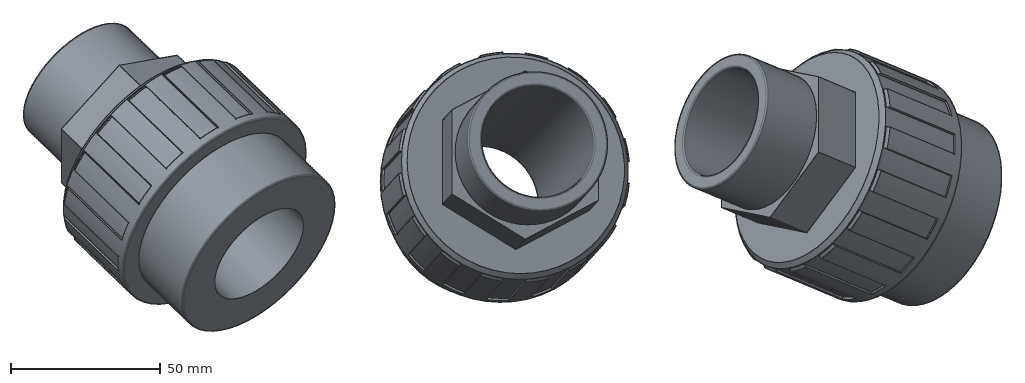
import cadquery as cq

TOTAL_LENGTH = 96.0
HEX_START = 21.8
NUT_START = 38.0
NUT_END = 72.7

SPIGOT_DIAMETER = 47.8
SOCKET_DIAMETER = 66.0
BORE_DIAMETER = 38.24
END_ROUND = 0.5

HEX_ACROSS_FLATS = 50.0
HEX_SIDES = 6

NUT_DIAMETER = 79.0
RECESS_FLOOR_DIAMETER = 77.42
NUT_FRONT_DIAMETER = 74.2
RIB_COUNT = 16
RIB_PITCH_ANGLE = 360 / RIB_COUNT
RECESS_START = 40.0
RIB_FULL_START = 41.0
RECESS_END = 69.6
CUT_CLEARANCE = 1.0


def cylinder_along_x(diameter, start, end):
    """Solid round bar between two X stations."""
    return cq.Workplane("YZ", origin=(start, 0, 0)).circle(diameter / 2).extrude(end - start)


def revolve_about_x(points):
    """Turn a closed outline of (x, radius) points about the X axis."""
    return cq.Workplane("XY").polyline(points).close().revolve(360, (0, 0, 0), (1, 0, 0))


def spigot():
    return cylinder_along_x(SPIGOT_DIAMETER, 0, NUT_START).faces("<X").fillet(END_ROUND)


def socket_end():
    return cylinder_along_x(SOCKET_DIAMETER, NUT_START, TOTAL_LENGTH).faces(">X").fillet(END_ROUND)


def hexagon():
    return (
        cq.Workplane("YZ", origin=(HEX_START, 0, 0))
        .polygon(HEX_SIDES, HEX_ACROSS_FLATS, circumscribed=True)
        .extrude(NUT_START - HEX_START)
    )


def nut_blank():
    """Nut at full rib height, with a chamfered front, sloped rib fronts and a rounded rear rim."""
    outer = NUT_DIAMETER / 2
    floor = RECESS_FLOOR_DIAMETER / 2
    front = NUT_FRONT_DIAMETER / 2
    blank = revolve_about_x([
        (NUT_START, 0),
        (NUT_START, front),
        (NUT_START + floor - front, floor),
        (RECESS_START, floor),
        (RIB_FULL_START, outer),
        (NUT_END, outer),
        (NUT_END, 0),
    ])
    return blank.faces(">X").edges().fillet(END_ROUND)


def grip_recess():
    """Ring sector between two ribs, half a pitch wide and centred on +Y."""
    sector_angle = RIB_PITCH_ANGLE / 2
    floor = RECESS_FLOOR_DIAMETER / 2
    clear = NUT_DIAMETER / 2 + CUT_CLEARANCE
    sector = (
        cq.Workplane("XY")
        .moveTo(RECESS_START, floor)
        .lineTo(RECESS_END, floor)
        .lineTo(RECESS_END, clear)
        .lineTo(RECESS_START, clear)
        .close()
        .revolve(sector_angle, (0, 0, 0), (1, 0, 0))
    )
    return sector.rotate((0, 0, 0), (1, 0, 0), -sector_angle / 2)


def union_nut():
    nut = nut_blank()
    recess = grip_recess()
    for index in range(RIB_COUNT):
        nut = nut.cut(recess.rotate((0, 0, 0), (1, 0, 0), index * RIB_PITCH_ANGLE))
    return nut


def bored_body():
    """Joined body with the through bore, its spigot mouth lightly rounded."""
    body = spigot().union(hexagon()).union(union_nut()).union(socket_end())
    bored = body.cut(cylinder_along_x(BORE_DIAMETER, 0, TOTAL_LENGTH))
    mouth = bored.faces("<X").edges(cq.selectors.RadiusNthSelector(0))
    return mouth.fillet(END_ROUND)


result = bored_body()